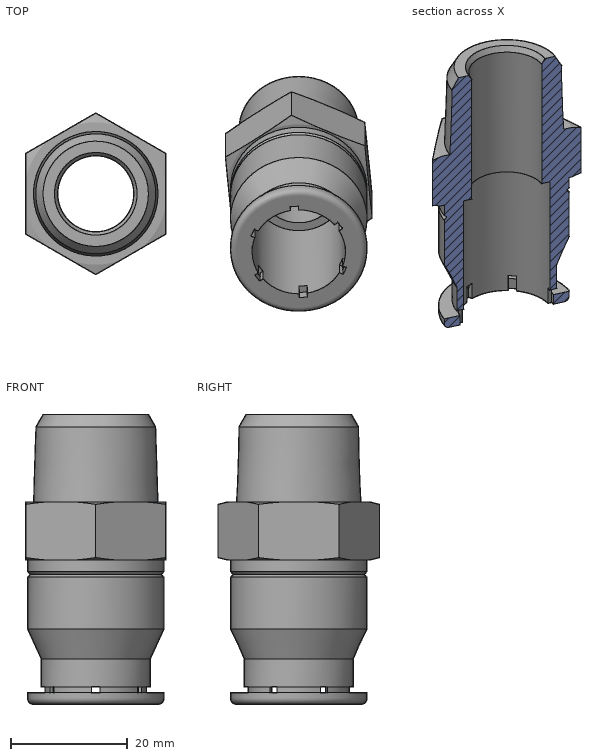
import cadquery as cq
import math

total_height = 49.7
thread_length = 15.0
hex_height = 10.0
flange_thickness = 2.0
flange_fillet = 1.0
collar_bottom = 3.0
cone_bottom = 7.8
cone_top = 12.9
groove_height = 22.25
hex_top = total_height - thread_length
hex_bottom = hex_top - hex_height

body_radius = 23.4 / 2
collar_radius = 18.72 / 2
flange_radius = body_radius
groove_depth = 0.47

thread_top_radius = 10.27
thread_taper = 1 / 32
lead_in_width = 1.25
lead_in_angle = 30.0
lead_in_height = lead_in_width / math.tan(math.radians(lead_in_angle))
thread_base_radius = thread_top_radius + thread_taper * (thread_length - lead_in_height)

hex_across_flats = 24.0
hex_sides = 6
hex_half_side_angle = 180.0 / hex_sides
hex_across_corners = hex_across_flats / math.cos(math.radians(hex_half_side_angle))
hex_chamfer_angle = 15.0
hex_face_radius = 12.2
hex_bevel_margin = 1.0

through_radius = 13.0 / 2
bore_chamfer_width = 0.58
bore_chamfer_height = bore_chamfer_width / math.tan(math.radians(lead_in_angle))
socket_radius = 16.0 / 2
socket_depth = hex_bottom

sleeve_radius = 8.7
slot_count = 6
slot_width = 1.4
slot_first_angle = 30.0


def revolve_profile(points):
    """Revolve a closed (radius, height) outline around the Z axis."""
    return cq.Workplane("XZ").polyline(points).close().revolve(360, (0, 0), (0, 1))


def make_turned_body():
    """Flange, sleeve, collar, cone, grooved body and thread as one turned blank."""
    return revolve_profile([
        (0, 0),
        (flange_radius, 0),
        (flange_radius, flange_thickness),
        (sleeve_radius, flange_thickness),
        (sleeve_radius, collar_bottom),
        (collar_radius, collar_bottom),
        (collar_radius, cone_bottom),
        (body_radius, cone_top),
        (body_radius, groove_height - groove_depth),
        (body_radius - groove_depth, groove_height),
        (body_radius, groove_height + groove_depth),
        (body_radius, hex_top),
        (thread_base_radius, hex_top),
        (thread_top_radius, total_height - lead_in_height),
        (thread_top_radius - lead_in_width, total_height),
        (0, total_height),
    ])


def make_hexagon():
    """Wrench hexagon with its corners bevelled at both ends."""
    hexagon = (
        cq.Workplane("XY")
        .workplane(offset=hex_bottom)
        .polygon(hex_sides, hex_across_corners)
        .extrude(hex_height)
        .rotate((0, 0, 0), (0, 0, 1), hex_half_side_angle)
    )
    bevel_radius = hex_across_corners / 2 + hex_bevel_margin
    bevel_drop = (bevel_radius - hex_face_radius) * math.tan(math.radians(hex_chamfer_angle))
    envelope = revolve_profile([
        (0, hex_bottom),
        (hex_face_radius, hex_bottom),
        (bevel_radius, hex_bottom + bevel_drop),
        (bevel_radius, hex_top - bevel_drop),
        (hex_face_radius, hex_top),
        (0, hex_top),
    ])
    return hexagon.intersect(envelope)


def make_bore():
    """Tube socket from below, then the narrower passage with a chamfered mouth."""
    return revolve_profile([
        (0, 0),
        (socket_radius, 0),
        (socket_radius, socket_depth),
        (through_radius, socket_depth),
        (through_radius, total_height - bore_chamfer_height),
        (through_radius + bore_chamfer_width, total_height),
        (0, total_height),
    ])


def make_sleeve_slots():
    """Radial slots that split the sleeve, running down inside the flange to its underside."""
    slot_bars = cq.Workplane("XY")
    for index in range(slot_count):
        bar = (
            cq.Workplane("XY")
            .center(sleeve_radius / 2, 0)
            .rect(sleeve_radius + slot_width, slot_width)
            .extrude(collar_bottom)
            .rotate((0, 0, 0), (0, 0, 1), slot_first_angle + index * 360 / slot_count)
        )
        slot_bars = slot_bars.add(bar)
    sleeve_core = cq.Workplane("XY").circle(sleeve_radius).extrude(collar_bottom)
    return slot_bars.combine().intersect(sleeve_core)


turned_body = make_turned_body().faces("<Z").edges().fillet(flange_fillet)
result = turned_body.union(make_hexagon()).cut(make_bore()).cut(make_sleeve_slots())